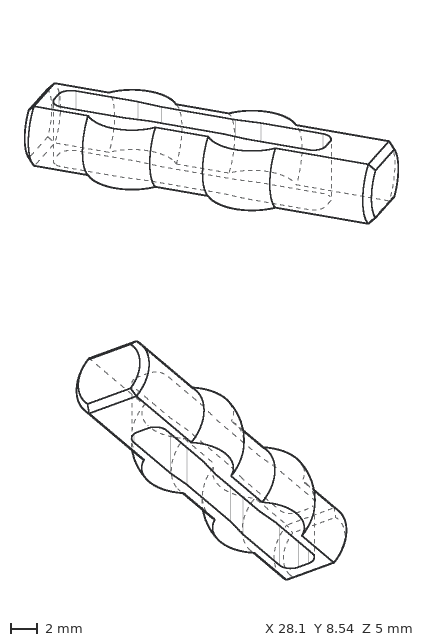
import cadquery as cq

length = 28.12
thickness = 5.0
rod_radius = 3.3
end_chamfer = 0.5

ball_radius = 4.27
ball_spacing = 9.73
first_ball_x = 7.62
ball_positions = (first_ball_x, first_ball_x + ball_spacing)
waist_center_x = first_ball_x + ball_spacing / 2

slot_length = 22.02
slot_width = 2.95
waist_width = 2.6
waist_length = 6.0
taper_length = 2.0
slot_corner_radius = 1.0


def make_flat_rod():
    rod = cq.Workplane("YZ").circle(rod_radius).extrude(length)
    return rod.intersect(make_flat_slab()).faces("<X or >X").chamfer(end_chamfer)


def make_flat_slab():
    """Slab between the two flats, wide enough to take in the balls."""
    slab = cq.Workplane("XY").box(length, 2 * ball_radius, thickness)
    return slab.translate((length / 2, 0, 0))


def make_flat_ball(x):
    ball = cq.Workplane("XY").sphere(ball_radius).translate((x, 0, 0))
    return ball.intersect(make_flat_slab())


def make_slot():
    end = slot_length / 2
    waist = waist_length / 2
    shoulder = waist + taper_length
    wide = slot_width / 2
    narrow = waist_width / 2
    upper_side = [
        (-end, wide),
        (-shoulder, wide),
        (-waist, narrow),
        (waist, narrow),
        (shoulder, wide),
        (end, wide),
    ]
    lower_side = [(x, -y) for x, y in reversed(upper_side)]
    slot = cq.Workplane("XY").polyline(upper_side + lower_side).close().extrude(thickness / 2, both=True)
    slot = slot.edges("|Z and (<X or >X)").fillet(slot_corner_radius)
    return slot.translate((waist_center_x, 0, 0))


body = make_flat_rod()
for ball_x in ball_positions:
    body = body.union(make_flat_ball(ball_x))

result = body.cut(make_slot())